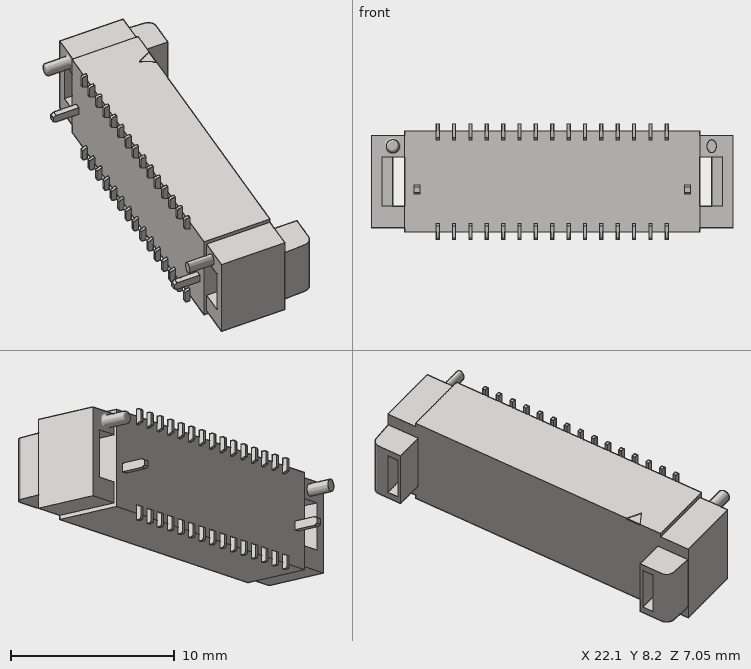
import cadquery as cq
import math


body_length = 18.03
body_depth = 4.5
body_height = 6.19

overall_length = 22.1
end_depth = 4.33
end_height = 5.65

ear_outer_x = 11.03
ear_inner_x = 8.82
ear_depth = 1.95
ear_height = 3.93
ear_taper = 0.1
ear_corner_radius = 0.55

slot_outer_x = 10.4
slot_step_x = 9.75
slot_height = 3.0

peg_x = slot_step_x
peg_z = 2.17
peg_length = 1.65
peg_diameter = 0.8
peg_root_radius = 0.13
peg_tip_radius = 0.165
oval_half_width = 0.29
oval_end_radius = 0.2

contacts_per_row = 15
contact_row_length = 14.01
contact_pitch = contact_row_length / (contacts_per_row - 1)
contact_width = 0.2
contact_span = 7.05
contact_outer_z = contact_span / 2
contact_length = 0.97
contact_thickness = 0.35
contact_rounding = 0.15
contact_inner_slant = 0.15

nail_x = 8.27
nail_z = -0.49
nail_width = 0.35
nail_height = 0.55
nail_length = 1.75
nail_tip_inset = 0.1
nail_tip_length = 0.2

mark_x = -contact_row_length / 2
mark_width = 1.0
mark_depth = 0.9
mark_thickness = 0.07


def box_between(x, y, z):
    """Box spanning the given (low, high) pair on each axis."""
    size = [high - low for low, high in (x, y, z)]
    return cq.Workplane("XY").box(*size, centered=False).translate((x[0], y[0], z[0]))


def centred(size):
    return (-size / 2, size / 2)


def mirrored_pair(right_part):
    return right_part.union(right_part.mirror("YZ"))


def make_ear():
    """Right-hand ear: its outer side leans inward and ends in a rounded corner."""
    outline = [
        (ear_inner_x, 0),
        (ear_outer_x, 0),
        (ear_outer_x - ear_taper, ear_depth),
        (ear_inner_x, ear_depth),
    ]
    ear = cq.Workplane("XY").polyline(outline).close().extrude(ear_height / 2, both=True)
    return ear.edges("|Z and >Y").edges(">X").fillet(ear_corner_radius)


def make_slot():
    wide = box_between((body_length / 2, slot_outer_x), (-end_depth, 0), centred(slot_height))
    narrow = box_between((body_length / 2, slot_step_x), (-end_depth, ear_depth), centred(slot_height))
    return wide.union(narrow)


def make_round_peg():
    """Peg with a rounded tip and a concave fillet at its root, turned about its own axis."""
    radius = peg_diameter / 2
    arc_middle = 1 - math.sqrt(0.5)
    peg = (
        cq.Workplane("XY")
        .lineTo(radius + peg_root_radius, 0)
        .threePointArc(
            (radius + peg_root_radius * arc_middle, -peg_root_radius * arc_middle),
            (radius, -peg_root_radius),
        )
        .lineTo(radius, -peg_length)
        .lineTo(0, -peg_length)
        .close()
        .revolve(360, (0, 0, 0), (0, 1, 0))
    )
    peg = peg.faces("<Y").edges().fillet(peg_tip_radius)
    return peg.translate((-peg_x, -end_depth, peg_z))


def make_oval_peg():
    """Oval of two small end arcs and two large side arcs, all tangent."""
    half_height = peg_diameter / 2
    end_centre = half_height - oval_end_radius
    narrowing = oval_half_width - oval_end_radius
    side_offset = (end_centre**2 - narrowing**2) / (2 * narrowing)
    side_radius = side_offset + oval_half_width
    reach = oval_end_radius / (side_radius - oval_end_radius)
    joint_x = side_offset * reach
    joint_z = end_centre * (1 + reach)
    peg = (
        cq.Workplane("XZ")
        .moveTo(-joint_x, joint_z)
        .threePointArc((0, half_height), (joint_x, joint_z))
        .threePointArc((oval_half_width, 0), (joint_x, -joint_z))
        .threePointArc((0, -half_height), (-joint_x, -joint_z))
        .threePointArc((-oval_half_width, 0), (-joint_x, joint_z))
        .close()
        .extrude(peg_length)
    )
    return peg.translate((peg_x, -end_depth, peg_z))


def make_contact():
    """Upper-row contact foot at X = 0: slanted inner end and rounded outer corner."""
    inner_z = contact_outer_z - contact_length
    tip_y = -body_depth - contact_thickness
    outline = [
        (-body_depth, inner_z),
        (tip_y, inner_z + contact_inner_slant),
        (tip_y, contact_outer_z),
        (-body_depth, contact_outer_z),
    ]
    foot = cq.Workplane("YZ").polyline(outline).close().extrude(contact_width / 2, both=True)
    return foot.edges("|X and <Y").edges(">Z").fillet(contact_rounding)


def make_nail():
    """Right-hand nail, its upper and lower sides bevelled towards the tip."""
    half_height = nail_height / 2
    bevel_y = nail_tip_length - nail_length
    outline = [
        (0, -half_height),
        (bevel_y, -half_height),
        (-nail_length, nail_tip_inset - half_height),
        (-nail_length, half_height - nail_tip_inset),
        (bevel_y, half_height),
        (0, half_height),
    ]
    nail = cq.Workplane("YZ").polyline(outline).close().extrude(nail_width / 2, both=True)
    return nail.translate((nail_x, -body_depth, nail_z))


def make_mark():
    top = body_height / 2
    outline = [
        (mark_x - mark_width / 2, 0),
        (mark_x, -mark_depth),
        (mark_x + mark_width / 2, 0),
    ]
    mark = cq.Workplane("XY").polyline(outline).close().extrude(mark_thickness)
    return mark.translate((0, 0, top - mark_thickness))


def make_housing():
    housing = box_between(centred(body_length), (-body_depth, 0), centred(body_height))
    ends = box_between(centred(overall_length), (-end_depth, 0), centred(end_height))
    housing = housing.union(ends).union(mirrored_pair(make_ear()))
    housing = housing.cut(mirrored_pair(make_slot()))
    housing = housing.union(make_round_peg()).union(make_oval_peg())
    housing = housing.union(mirrored_pair(make_nail()))
    contact = make_contact()
    for index in range(contacts_per_row):
        x = index * contact_pitch - contact_row_length / 2
        housing = housing.union(contact.translate((x, 0, 0)))
        housing = housing.union(contact.mirror("XY").translate((x, 0, 0)))
    return housing.cut(make_mark())


housing = make_housing()
pin_one_mark = make_mark()

result = cq.Compound.makeCompound([housing.val(), pin_one_mark.val()])